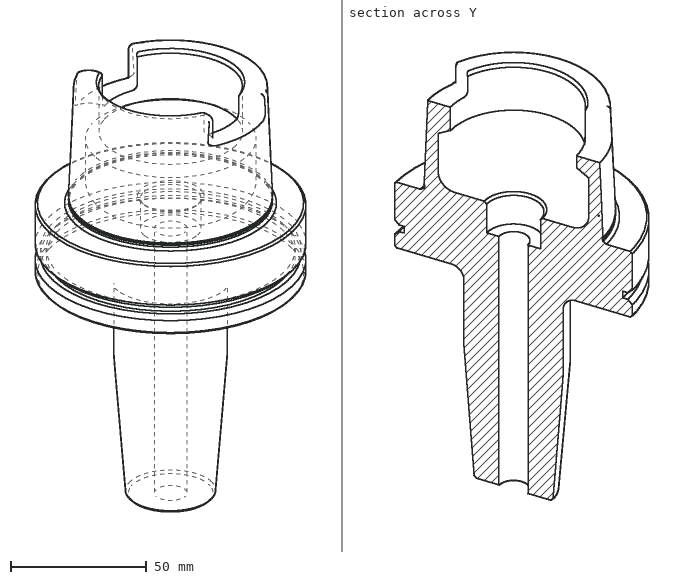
import cadquery as cq
import math

height = 170.0

shank_radius = 42.0 / 2
shank_cone_top = 57.3
tip_radius = 16.7
tip_chamfer = 1.0
shank_fillet = 5.1

flange_radius = 100.0 / 2
flange_bottom = 91.0
flange_top = 120.0
flange_chamfer = 0.8
groove_radius = 92.0 / 2
groove_floor_bottom = 98.6
groove_floor_top = 101.3
groove_chamfer = 1.9

nose_base_radius = 75.3 / 2
nose_base_z = 122.5
nose_top_radius = 35.7
nose_rim_fillet = 2.0
relief_depth = 0.25
relief_bottom_z = 120.9
relief_slope = 0.7
collar_radius = 39.1

mouth_radius = 53.0 / 2
mouth_chamfer = 0.8
mouth_chamfer_height = 1.5
undercut_radius = 63.0 / 2
undercut_top = 149.6
undercut_angle = 30
cavity_floor = 123.0
cavity_fillet = 6.8
socket_radius = 22.5 / 2
socket_mouth_radius = 24.5 / 2
socket_depth = 13.6
through_radius = 12.0 / 2

notch_width = 19.7
notch_depth_left = 15.0
notch_depth_right = 10.0
notch_flare_radius = 6.0
notch_flare_x = 32.1
notch_floor_fillet = 2.0
notch_rim_fillet = 1.5

reach = flange_radius
edge_margin = 1.7
notch_walls = cq.selectors.BoxSelector(
    (edge_margin, edge_margin - reach, 0),
    (reach - edge_margin, reach - edge_margin, 2 * height),
)


def build_body():
    """Solid of revolution: shank, grooved flange and taper nose."""
    profile = (
        cq.Workplane("XZ")
        .moveTo(0, 0)
        .lineTo(tip_radius - tip_chamfer, 0)
        .lineTo(tip_radius, tip_chamfer)
        .lineTo(shank_radius, shank_cone_top)
        .lineTo(shank_radius, flange_bottom - shank_fillet)
        .radiusArc((shank_radius + shank_fillet, flange_bottom), shank_fillet)
        .lineTo(flange_radius - flange_chamfer, flange_bottom)
        .lineTo(flange_radius, flange_bottom + flange_chamfer)
        .lineTo(flange_radius, groove_floor_bottom - groove_chamfer)
        .lineTo(flange_radius - groove_chamfer, groove_floor_bottom)
        .lineTo(groove_radius, groove_floor_bottom)
        .lineTo(groove_radius, groove_floor_top)
        .lineTo(flange_radius - groove_chamfer, groove_floor_top)
        .lineTo(flange_radius, groove_floor_top + groove_chamfer)
        .lineTo(flange_radius, flange_top - flange_chamfer)
        .lineTo(flange_radius - flange_chamfer, flange_top)
        .lineTo(collar_radius, flange_top)
        .lineTo(nose_base_radius, relief_bottom_z)
        .lineTo(nose_base_radius - relief_depth, relief_bottom_z + relief_slope)
        .lineTo(nose_base_radius - relief_depth, nose_base_z - relief_slope)
        .lineTo(nose_base_radius, nose_base_z)
        .lineTo(nose_top_radius, height)
        .lineTo(0, height)
        .close()
    )
    body = profile.revolve(360, (0, 0, 0), (0, 1, 0))
    return body.faces(">Z").edges().fillet(nose_rim_fillet)


def build_cavity():
    """Stepped bore through the part, widened below the nose mouth."""
    undercut_drop = (undercut_radius - mouth_radius) * math.tan(math.radians(undercut_angle))
    socket_chamfer = socket_mouth_radius - socket_radius
    profile = (
        cq.Workplane("XZ")
        .moveTo(0, 0)
        .lineTo(through_radius, 0)
        .lineTo(through_radius, cavity_floor - socket_depth)
        .lineTo(socket_radius, cavity_floor - socket_depth)
        .lineTo(socket_radius, cavity_floor - socket_chamfer)
        .lineTo(socket_mouth_radius, cavity_floor)
        .lineTo(undercut_radius - cavity_fillet, cavity_floor)
        .radiusArc((undercut_radius, cavity_floor + cavity_fillet), -cavity_fillet)
        .lineTo(undercut_radius, undercut_top - undercut_drop)
        .lineTo(mouth_radius, undercut_top)
        .lineTo(mouth_radius, height - mouth_chamfer_height)
        .lineTo(mouth_radius + mouth_chamfer, height)
        .lineTo(0, height)
        .close()
    )
    return profile.revolve(360, (0, 0, 0), (0, 1, 0))


def notch_outline(z):
    """Closed outline at height z of the notch on the +X side, its walls flaring round outwards."""
    half = notch_width / 2
    flare_start = notch_flare_x - notch_flare_radius
    flare_y = half + notch_flare_radius
    return (
        cq.Workplane("XY", origin=(0, 0, z))
        .moveTo(0, -half)
        .lineTo(flare_start, -half)
        .radiusArc((notch_flare_x, -flare_y), notch_flare_radius)
        .lineTo(notch_flare_x, -reach)
        .lineTo(reach, -reach)
        .lineTo(reach, reach)
        .lineTo(notch_flare_x, reach)
        .lineTo(notch_flare_x, flare_y)
        .radiusArc((flare_start, half), notch_flare_radius)
        .lineTo(0, half)
        .close()
    )


def build_notch(depth):
    """Notch cutter on the +X side with a filleted floor and rounded rim.

    The rim is a slab with two rounded jaws taken out, one on each side of the notch.
    """
    notch = notch_outline(height - depth).extrude(depth)
    notch = notch.faces("<Z").edges(notch_walls).fillet(notch_floor_fillet)
    rim_depth = 2 * notch_rim_fillet
    rim_z = height - rim_depth
    rim = cq.Workplane("XY", origin=(reach / 2, 0, rim_z)).rect(reach, 2 * reach).extrude(rim_depth)
    jaws = rim.cut(notch_outline(rim_z).extrude(rim_depth))
    jaws = jaws.faces(">Z").edges(notch_walls).fillet(notch_rim_fillet)
    return notch.union(rim.cut(jaws))


result = build_body()
result = result.cut(build_notch(notch_depth_right))
result = result.cut(build_notch(notch_depth_left).mirror("YZ"))
result = result.cut(build_cavity())